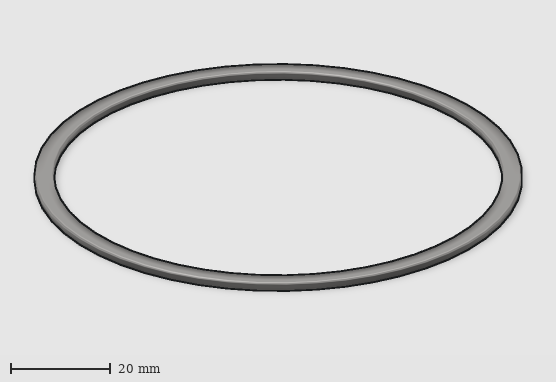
import cadquery as cq

outer_diameter = 98.0
inner_diameter = 90.0
thickness = 2.0
edge_radius = 0.5

ring = (
    cq.Workplane("XY")
    .circle(outer_diameter / 2)
    .circle(inner_diameter / 2)
    .extrude(thickness)
)

result = ring.faces("|Z").edges().fillet(edge_radius)